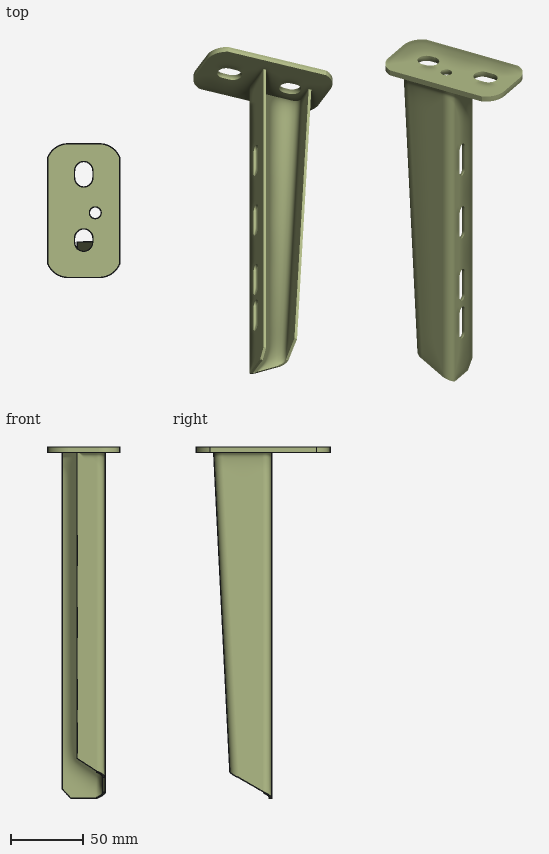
import cadquery as cq
import math

plate_width = 50.0
plate_length = 93.0
plate_thickness = 4.0
corner_radius = 15.5
corner_height = 9.5
slot_width = 12.5
rear_slot_length = 17.5
rear_slot_y = 25.25
front_slot_length = 15.5
front_slot_y = -20.5
small_hole_diameter = 8.0
small_hole_x = 8.0
small_hole_y = -1.5

channel_height = 240.0
sheet = 2.0
bend_radius = 6.0
rear_flange_width = 30.0
front_flange_width = 19.6
rear_y = 6.0
top_depth = 40.5
taper_angle = 2.9
web_x = rear_flange_width / 2
rear_edge_x = web_x - rear_flange_width
front_edge_x = web_x - front_flange_width
bend_x = web_x - bend_radius

trim_angle = 30.0
corner_cut_width = 6.0
corner_cut_height = 6.5
flange_slot_width = 7.0
flange_slot_length = 25.0
flange_slot_x = -1.0
flange_slot_heights = (42.0, 72.0, 122.0, 172.0)


def front_y(z):
    """Y of the front flange's outer face at height z."""
    return rear_y - top_depth - z * math.tan(math.radians(taper_angle))


def make_plate():
    arc_width = math.sqrt(corner_radius**2 - (corner_radius - corner_height) ** 2)
    rounded_width = plate_width + 2 * (corner_radius - arc_width)
    rounded = (
        cq.Workplane("XY")
        .rect(rounded_width, plate_length)
        .extrude(plate_thickness)
        .edges("|Z")
        .fillet(corner_radius)
    )
    blank = cq.Workplane("XY").rect(plate_width, plate_length).extrude(plate_thickness)
    return (
        blank.intersect(rounded)
        .faces(">Z")
        .workplane(origin=(0, 0, plate_thickness))
        .center(0, rear_slot_y)
        .slot2D(rear_slot_length, slot_width, 90)
        .center(0, front_slot_y - rear_slot_y)
        .slot2D(front_slot_length, slot_width, 90)
        .center(small_hole_x, small_hole_y - front_slot_y)
        .circle(small_hole_diameter / 2)
        .cutThruAll()
    )


def make_bend(plane, side, length):
    """Quarter bend along the plane's normal; the web lies on the given side of the plane's X axis."""
    inner_radius = bend_radius - sheet
    outer_mid = bend_radius * (1 - math.sqrt(0.5))
    inner_mid = bend_radius - inner_radius * math.sqrt(0.5)
    return (
        cq.Workplane(plane)
        .moveTo(bend_x, 0)
        .threePointArc((web_x - outer_mid, side * outer_mid), (web_x, side * bend_radius))
        .lineTo(web_x - sheet, side * bend_radius)
        .threePointArc((web_x - inner_mid, side * inner_mid), (bend_x, side * sheet))
        .close()
        .extrude(length)
    )


def make_flange(plane, edge_x, side, length):
    """Flat flange from its free edge to the bend, extruded along the plane's normal."""
    return (
        cq.Workplane(plane)
        .moveTo(edge_x, 0)
        .lineTo(bend_x, 0)
        .lineTo(bend_x, side * sheet)
        .lineTo(edge_x, side * sheet)
        .close()
        .extrude(length)
    )


def space_below(start, end):
    """Large block below the sloping plane that rises from start to end and is level across."""
    rise = cq.Vector(*end) - cq.Vector(*start)
    across = cq.Vector(0, 0, 1).cross(rise)
    upward = rise.cross(across)
    reach = channel_height
    return cq.Workplane(cq.Plane(start, rise, upward)).rect(reach, reach).extrude(-reach)


def make_folded_sheet():
    """Rear flange, bend, web, bend and leaning front flange with the lower end cut to a slope.

    The cut is straight on the flat sheet, so it keeps climbing round both bends.
    """
    lean = math.radians(taper_angle)
    bottom_z = -channel_height
    slope = math.tan(math.radians(trim_angle))
    flange_slope = math.tan(math.radians(trim_angle + taper_angle))
    bend_rise = slope * math.pi / 2 * (bend_radius - sheet / 2)
    bend_depth = bend_radius / math.cos(lean)

    rear_bend_y = rear_y - bend_radius
    web_start_z = bottom_z + bend_rise
    web_length = (rear_bend_y - front_y(web_start_z) - bend_depth) / (1 - slope * math.tan(lean))
    front_bend_y = rear_bend_y - web_length
    web_end_z = web_start_z + slope * web_length
    flange_start_z = web_end_z + bend_rise
    flange_end_z = flange_start_z + flange_slope * (bend_x - front_edge_x)
    flange_y = front_y(flange_start_z)

    rear_bend_start = (bend_x, rear_y, bottom_z)
    web_start = (web_x, rear_bend_y, web_start_z)
    web_end = (web_x, front_bend_y, web_end_z)
    flange_start = (bend_x, flange_y, flange_start_z)
    flange_end = (front_edge_x, flange_y, flange_end_z)

    rear_plane = cq.Plane((0, rear_y, bottom_z), (1, 0, 0), (0, 0, 1))
    rear_flange = make_flange(rear_plane, rear_edge_x, -1, channel_height)
    rear_bend = make_bend(rear_plane, -1, channel_height).cut(space_below(rear_bend_start, web_start))

    web = (
        cq.Workplane("YZ", origin=(web_x - sheet, 0, 0))
        .moveTo(rear_bend_y, 0)
        .lineTo(front_y(0) + bend_depth, 0)
        .lineTo(front_bend_y, web_end_z)
        .lineTo(rear_bend_y, web_start_z)
        .close()
        .extrude(sheet)
    )

    front_axis = (0, -math.sin(lean), math.cos(lean))
    front_plane = cq.Plane((0, front_y(bottom_z), bottom_z), (1, 0, 0), front_axis)
    front_length = (channel_height + bend_radius) / math.cos(lean)
    above_top = cq.Workplane("XY").rect(2 * plate_length, 2 * plate_length).extrude(2 * bend_radius)
    front_bend = (
        make_bend(front_plane, 1, front_length)
        .cut(space_below(web_end, flange_start))
        .cut(above_top)
    )
    front_flange = (
        make_flange(front_plane, front_edge_x, 1, front_length)
        .cut(space_below(flange_start, flange_end))
        .cut(above_top)
    )
    return rear_flange.union(rear_bend).union(web).union(front_bend).union(front_flange).clean()


def cut_rear_flange(channel):
    slots = (
        cq.Workplane("XZ", origin=(0, rear_y, 0))
        .pushPoints([(flange_slot_x, height - channel_height) for height in flange_slot_heights])
        .slot2D(flange_slot_length, flange_slot_width, 90)
        .extrude(sheet)
    )
    corner = (
        cq.Workplane("XZ", origin=(rear_edge_x, rear_y, -channel_height))
        .lineTo(corner_cut_width, 0)
        .lineTo(0, corner_cut_height)
        .close()
        .extrude(sheet)
    )
    return channel.cut(slots).cut(corner)


def make_channel():
    return cut_rear_flange(make_folded_sheet())


plate = make_plate()
channel = make_channel()
result = cq.Compound.makeCompound([plate.val(), channel.val()])